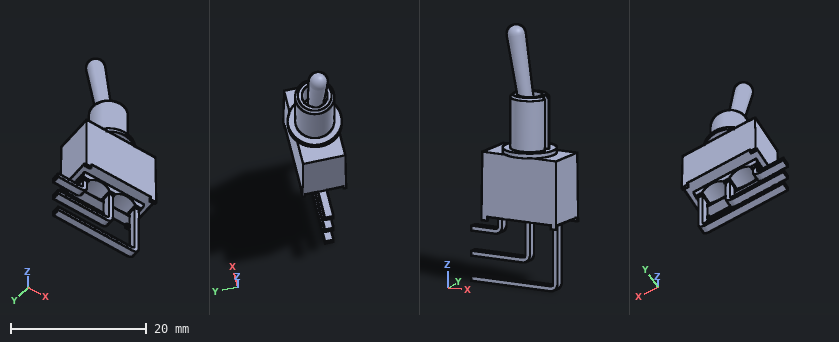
import cadquery as cq
import math

body_length = 12.7
body_width = 6.62
body_draft_inset = 0.1
foot_bottom_z = 10.15
recess_z = 10.75
body_top_z = 20.55
foot_length = 0.95
foot_width = 0.4
recess_length = body_length - 2 * foot_length
recess_width = body_width - 2 * foot_width

washer_diameter = 8.0
washer_thickness = 0.7
bushing_diameter = 5.8
bushing_top_z = 29.35
bushing_chamfer = 0.4
bore_diameter = 3.8
keyway_width = 1.05
keyway_floor_x = 2.15

overall_height = 39.65
pivot_z = 24.6
tip_diameter = 2.9
rod_root_diameter = 2.1
tip_offset = 2.3
tip_z = overall_height - tip_diameter / 2

pin_pitch = 4.68
pin_level_pitch = 3.8
pin_thickness = 0.75
pin_width = 1.3
bend_inner_radius = 0.48
pin_end_x = body_length / 2 - 15.9

seal_top_width = 3.1
seal_bottom_width = 2.1
seal_bottom_z = 10.2
seal_valley_z = 10.63
seal_end_z = 10.43
seal_flat = 1.05


def make_body():
    height = body_top_z - foot_bottom_z
    draft_angle = math.degrees(math.atan(body_draft_inset / height))
    body = (
        cq.Workplane("XY", origin=(0, 0, foot_bottom_z))
        .rect(body_length, body_width)
        .extrude(height, taper=draft_angle)
    )
    recess_depth = recess_z - foot_bottom_z
    for length, width in ((recess_length, 2 * body_width), (2 * body_length, recess_width)):
        channel = (
            cq.Workplane("XY", origin=(0, 0, foot_bottom_z))
            .rect(length, width)
            .extrude(recess_depth)
        )
        body = body.cut(channel)
    return body


def make_bushing():
    washer = (
        cq.Workplane("XY", origin=(0, 0, body_top_z))
        .circle(washer_diameter / 2)
        .extrude(washer_thickness)
    )
    washer_top_z = body_top_z + washer_thickness
    barrel = (
        cq.Workplane("XY", origin=(0, 0, washer_top_z))
        .circle(bushing_diameter / 2)
        .extrude(bushing_top_z - washer_top_z)
        .faces(">Z")
        .chamfer(bushing_chamfer)
    )
    keyway = cq.Workplane("XY").box(
        bushing_diameter, keyway_width, bushing_top_z - washer_top_z, centered=(False, True, False)
    ).translate((keyway_floor_x, 0, washer_top_z))
    bore = (
        cq.Workplane("XY", origin=(0, 0, pivot_z))
        .circle(bore_diameter / 2)
        .extrude(bushing_top_z - pivot_z)
    )
    return barrel.cut(keyway).union(washer).cut(bore)


def make_lever():
    rise = tip_z - pivot_z
    rod_length = math.hypot(tip_offset, rise)
    tilt = math.degrees(math.atan2(tip_offset, rise))
    rod = (
        cq.Workplane("XY")
        .circle(rod_root_diameter / 2)
        .workplane(offset=rod_length)
        .circle(tip_diameter / 2)
        .loft()
    )
    tip = cq.Workplane("XY").sphere(tip_diameter / 2).translate((0, 0, rod_length))
    pivot_ball = cq.Workplane("XY").sphere(bore_diameter / 2)
    lever = rod.union(tip).union(pivot_ball)
    return lever.rotate((0, 0, 0), (0, 1, 0), -tilt).translate((0, 0, pivot_z))


def make_terminal(pin_x, bottom_z):
    """L-shaped terminal running down from the housing and out toward -X."""
    outer_x = pin_x + pin_thickness / 2
    inner_x = outer_x - pin_thickness
    upper_z = bottom_z + pin_thickness
    outer_radius = bend_inner_radius + pin_thickness
    bend_x = outer_x - outer_radius
    bend_z = bottom_z + outer_radius
    diagonal = math.sqrt(0.5)
    outer_mid = (bend_x + outer_radius * diagonal, bend_z - outer_radius * diagonal)
    inner_mid = (bend_x + bend_inner_radius * diagonal, bend_z - bend_inner_radius * diagonal)
    return (
        cq.Workplane("XZ")
        .moveTo(pin_end_x, bottom_z)
        .lineTo(bend_x, bottom_z)
        .threePointArc(outer_mid, (outer_x, bend_z))
        .lineTo(outer_x, recess_z)
        .lineTo(inner_x, recess_z)
        .lineTo(inner_x, bend_z)
        .threePointArc(inner_mid, (bend_x, upper_z))
        .lineTo(pin_end_x, upper_z)
        .close()
        .extrude(pin_width / 2, both=True)
    )


def make_seal():
    """Trapezoidal strip with an arch between each pair of neighbouring terminals."""
    strip = (
        cq.Workplane("YZ")
        .moveTo(-seal_top_width / 2, recess_z)
        .lineTo(seal_top_width / 2, recess_z)
        .lineTo(seal_bottom_width / 2, seal_bottom_z)
        .lineTo(-seal_bottom_width / 2, seal_bottom_z)
        .close()
        .extrude(recess_length / 2, both=True)
    )
    half_flat = seal_flat / 2
    outline = (
        cq.Workplane("XZ")
        .moveTo(-recess_length / 2, recess_z)
        .lineTo(-recess_length / 2, seal_end_z)
        .lineTo(-pin_pitch - half_flat, seal_bottom_z)
    )
    for left_pin_x in (-pin_pitch, 0):
        right_pin_x = left_pin_x + pin_pitch
        outline = (
            outline.lineTo(left_pin_x + half_flat, seal_bottom_z)
            .threePointArc(
                (left_pin_x + pin_pitch / 2, seal_valley_z),
                (right_pin_x - half_flat, seal_bottom_z),
            )
        )
    arches = (
        outline.lineTo(pin_pitch + half_flat, seal_bottom_z)
        .lineTo(recess_length / 2, seal_end_z)
        .lineTo(recess_length / 2, recess_z)
        .close()
        .extrude(seal_top_width, both=True)
    )
    return strip.intersect(arches)


result = make_body().union(make_bushing()).union(make_lever()).union(make_seal())
for position in (-1, 0, 1):
    terminal = make_terminal(position * pin_pitch, (1 - position) * pin_level_pitch)
    result = result.union(terminal)